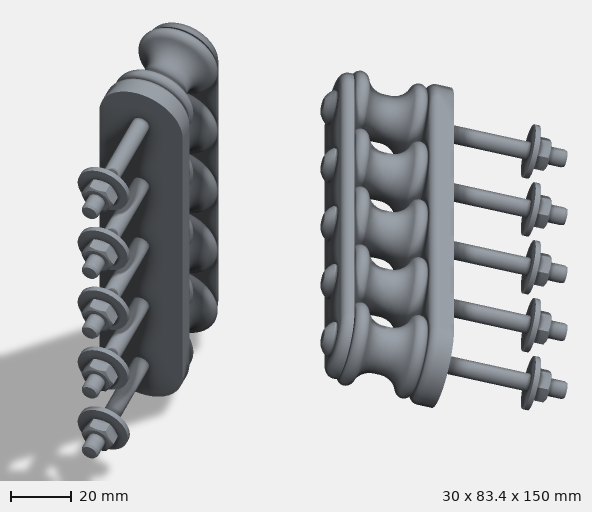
import cadquery as cq
import math

roller_count = 5
length = 150.0
base_width = 30.0
pitch = (length - base_width) / (roller_count - 1)

base_thickness = 8.0
cover_width = 25.0
cover_length = length - (base_width - cover_width)
cover_thickness = 3.9
cover_gap = 0.5
plate_fillet = 3.0

roller_width = 25.0
rim_diameter = 28.0
rim_radius = 2.5
waist_diameter = 16.0
waist_flat = 2.1

rod_diameter = 6.0
rod_projection = 42.5
tip_chamfer_length = 0.9
tip_chamfer_depth = 0.38
head_height = 3.5
head_diameter = 11.7
head_edge_height = 0.9
head_top_diameter = 5.4
head_dome_bulge = 0.22

washer_diameter = 18.0
washer_thickness = 1.8
washer_distance = 29.7
nut_across_flats = 10.0
nut_face_diameter = 9.0
nut_height = 5.0
nut_chamfer_angle = math.radians(30)

roller_start = base_thickness
roller_end = roller_start + roller_width
cover_start = roller_end + cover_gap
cover_end = cover_start + cover_thickness
washer_end = -washer_distance
nut_start = washer_end - washer_thickness
nut_end = nut_start - nut_height


def make_plate(plate_length, width, start, thickness):
    """Round-ended plate with its rear edge rounded."""
    plate = (
        cq.Workplane("XZ", origin=(0, start, 0))
        .slot2D(plate_length, width, 90)
        .extrude(-thickness)
    )
    return plate.faces(">Y").edges().fillet(plate_fillet)


def spin(profile):
    """Revolve a closed (radius, Y) profile about the Y axis."""
    return profile.close().revolve(360, (0, 0, 0), (0, 1, 0))


def make_roller():
    """Spool with half-round rims blending into a concave groove."""
    middle = roller_start + roller_width / 2
    waist_r = waist_diameter / 2
    rim_center_r = rim_diameter / 2 - rim_radius
    rim_center_offset = roller_width / 2 - rim_radius
    flat_half = waist_flat / 2

    run = rim_center_offset - flat_half
    rise = rim_diameter / 2 - waist_r
    center_distance = (run**2 + rise**2) / (2 * rise)
    groove_radius = center_distance - rim_radius
    groove_center_r = waist_r + groove_radius
    sweep = math.asin(run / center_distance)

    def groove_point(angle, side):
        return (
            groove_center_r - groove_radius * math.cos(angle),
            middle + side * (flat_half + groove_radius * math.sin(angle)),
        )

    def rim_point(angle, side):
        return (
            rim_center_r + rim_radius * math.cos(angle),
            middle + side * (rim_center_offset + rim_radius * math.sin(angle)),
        )

    quarter_turn = math.pi / 2
    profile = (
        cq.Workplane("XY")
        .moveTo(0, roller_start)
        .lineTo(*rim_point(quarter_turn, -1))
        .threePointArc(rim_point(0, -1), groove_point(sweep, -1))
        .threePointArc(groove_point(sweep / 2, -1), groove_point(0, -1))
        .lineTo(*groove_point(0, 1))
        .threePointArc(groove_point(sweep / 2, 1), groove_point(sweep, 1))
        .threePointArc(rim_point(0, 1), rim_point(quarter_turn, 1))
        .lineTo(0, roller_end)
    )
    return spin(profile)


def make_bolt():
    """Dome-headed rod with a chamfered tip."""
    rod_r = rod_diameter / 2
    head_r = head_diameter / 2
    top_r = head_top_diameter / 2
    dome_start = cover_end + head_edge_height
    head_end = cover_end + head_height
    dome_mid = (
        (head_r + top_r) / 2 + head_dome_bulge,
        (dome_start + head_end) / 2 + head_dome_bulge,
    )
    profile = (
        cq.Workplane("XY")
        .moveTo(0, -rod_projection)
        .lineTo(rod_r - tip_chamfer_depth, -rod_projection)
        .lineTo(rod_r, -rod_projection + tip_chamfer_length)
        .lineTo(rod_r, cover_end)
        .lineTo(head_r, cover_end)
        .lineTo(head_r, dome_start)
        .threePointArc(dome_mid, (top_r, head_end))
        .lineTo(0, head_end)
    )
    return spin(profile)


def make_washer():
    """Flat disc on the rod, against the inner end of the nut."""
    return (
        cq.Workplane("XZ", origin=(0, washer_end, 0))
        .circle(washer_diameter / 2)
        .extrude(washer_thickness)
    )


def make_nut():
    """Hexagon nut with corners along X, both ends trimmed by cones."""
    corner_diameter = nut_across_flats / math.cos(math.pi / 6)
    hexagon = (
        cq.Workplane("XZ", origin=(0, nut_start, 0))
        .polygon(6, corner_diameter)
        .extrude(nut_height)
    )
    corner_r = corner_diameter / 2
    face_r = nut_face_diameter / 2
    chamfer_height = (corner_r - face_r) * math.tan(nut_chamfer_angle)
    envelope = (
        cq.Workplane("XY")
        .moveTo(0, nut_start)
        .lineTo(face_r, nut_start)
        .lineTo(corner_r, nut_start - chamfer_height)
        .lineTo(corner_r, nut_end + chamfer_height)
        .lineTo(face_r, nut_end)
        .lineTo(0, nut_end)
    )
    return hexagon.intersect(spin(envelope))


station = make_bolt().union(make_roller()).union(make_washer()).union(make_nut())

result = make_plate(length, base_width, 0, base_thickness)
result = result.union(make_plate(cover_length, cover_width, cover_start, cover_thickness))
for index in range(roller_count):
    height = (index - (roller_count - 1) / 2) * pitch
    result = result.union(station.translate((0, 0, height)))